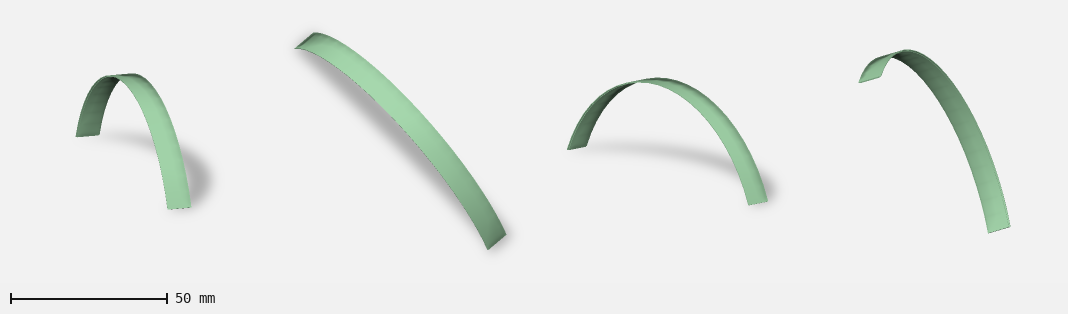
import cadquery as cq
import math

outer_radius = 50.0
span = 92.18
strip_width = 8.0
edge_thickness = 0.25
total_thickness = 0.45
edge_step_width = 0.5

inner_radius = outer_radius - total_thickness
edge_radius = outer_radius - edge_thickness
layer_width = strip_width - 2 * edge_step_width
half_angle = math.asin(span / 2 / outer_radius)


def arc_point(radius, angle):
    """Point in the XZ plane at an angle from the crown, about the bend axis."""
    return (radius * math.sin(angle), radius * math.cos(angle))


def curved_band(band_outer_radius, band_inner_radius, width):
    """Arc-shaped band with radial ends, centred across the strip width."""
    return (
        cq.Workplane("XZ")
        .moveTo(*arc_point(band_outer_radius, -half_angle))
        .threePointArc(arc_point(band_outer_radius, 0), arc_point(band_outer_radius, half_angle))
        .lineTo(*arc_point(band_inner_radius, half_angle))
        .threePointArc(arc_point(band_inner_radius, 0), arc_point(band_inner_radius, -half_angle))
        .close()
        .extrude(width / 2, both=True)
    )


outer_band = curved_band(outer_radius, edge_radius, strip_width)

inner_layer = curved_band(outer_radius, inner_radius, layer_width)

result = outer_band.union(inner_layer).clean()